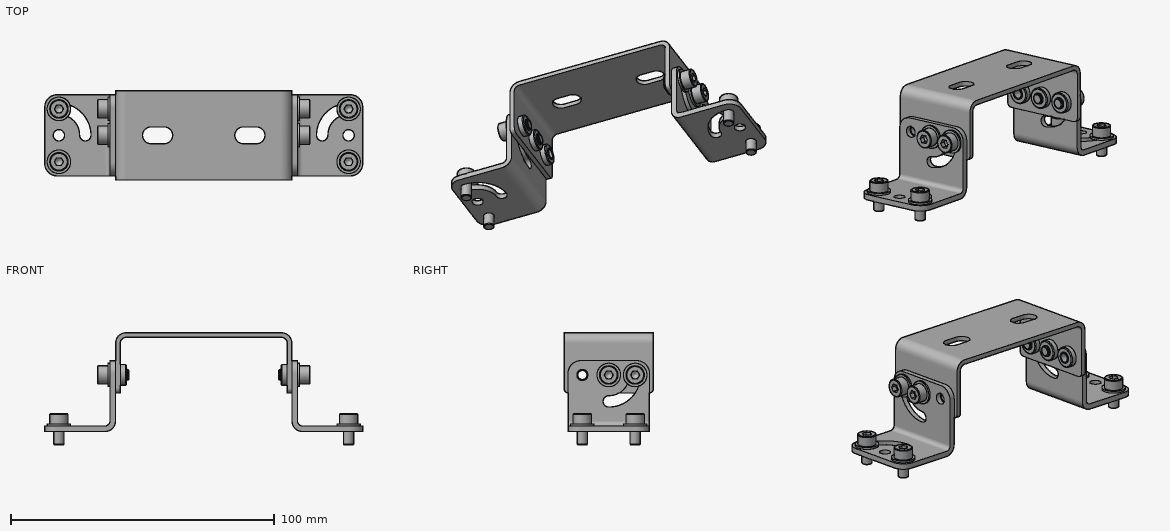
import cadquery as cq
import math

total_length = 121.0
bridge_length = 67.0
bridge_width = 34.0
bridge_top = 37.6
bridge_bottom = 14.6
bridge_thickness = 1.8
bridge_inner_bend = 2.2
bridge_corner = 1.8

top_slot_spacing = 35.1
top_slot_length = 11.4
top_slot_width = 6.3

bracket_width = 31.0
bracket_thickness = 2.2
bracket_inner_bend = 1.8
bracket_corner = 4.8
flange_length = (total_length - bridge_length) / 2

hole_pitch = 10.0
hole_edge_distance = 5.5
hole_diameter = 4.2

shank_diameter = 4.0
shank_length = 8.0
shank_chamfer = 0.3
head_diameter = 7.0
head_height = 4.0
head_chamfer = 0.3
socket_size = 3.0
socket_depth = 2.0
socket_tip_angle = 120.0
washer_diameter = 9.0
washer_thickness = 0.7

nut_diameter = 8.0
nut_thickness = 2.3
nut_chamfer = 0.4
nut_collar_diameter = 4.4
nut_collar_height = 0.2
nut_bore = 3.4

half_bridge = bridge_length / 2
row_height = flange_length - hole_edge_distance
row_x = -total_length / 2 + hole_edge_distance


def make_bridge():
    """U-shaped strip with rounded leg ends and two slots in its top."""
    leg_height = bridge_top - bridge_bottom
    bridge = (
        cq.Workplane("XY")
        .box(bridge_length, bridge_width, leg_height, centered=(True, True, False))
        .edges("|Y and >Z")
        .fillet(bridge_inner_bend + bridge_thickness)
    )
    inside = (
        cq.Workplane("XY")
        .box(
            bridge_length - 2 * bridge_thickness,
            bridge_width,
            leg_height - bridge_thickness,
            centered=(True, True, False),
        )
        .edges("|Y and >Z")
        .fillet(bridge_inner_bend)
    )
    bridge = bridge.cut(inside).edges("|X and <Z").fillet(bridge_corner)
    slots = (
        cq.Workplane("XY")
        .rarray(top_slot_spacing, 1.2, 2, 1)
        .slot2D(top_slot_length, top_slot_width)
        .extrude(leg_height)
    )
    return bridge.cut(slots).translate((0, 0, bridge_bottom))


def arc_slot():
    """Quarter-circle slot about the origin, from the +Y axis round to the +X axis."""
    inner = hole_pitch - hole_diameter / 2
    outer = hole_pitch + hole_diameter / 2
    diagonal = math.sqrt(0.5)
    end_radius = hole_diameter / 2
    return (
        cq.Workplane("XY")
        .moveTo(0, outer)
        .threePointArc((outer * diagonal, outer * diagonal), (outer, 0))
        .threePointArc((hole_pitch, -end_radius), (inner, 0))
        .threePointArc((inner * diagonal, inner * diagonal), (0, inner))
        .threePointArc((-end_radius, hole_pitch), (0, outer))
        .close()
        .extrude(bracket_thickness)
    )


def flange_cutter(hole_positions):
    """Holes and arc slot of a flange lying on XY, centred on its hole row, the bend towards +X."""
    holes = (
        cq.Workplane("XY")
        .pushPoints([(0, y) for y in hole_positions])
        .circle(hole_diameter / 2)
        .extrude(bracket_thickness)
    )
    return arc_slot().union(holes)


def stand_up(shape):
    """Turn a shape from pointing up (+Z) to pointing outward (-X), local +X going to +Z."""
    return shape.rotate((0, 0, 0), (0, 1, 0), -90)


def make_bracket():
    """Left bracket: a foot on Z = 0 and an upright against the bridge leg."""
    bracket = (
        cq.Workplane("XY")
        .box(flange_length, bracket_width, flange_length, centered=(False, True, False))
        .edges("|Y and >X and <Z")
        .fillet(bracket_inner_bend + bracket_thickness)
    )
    outside = (
        cq.Workplane("XY")
        .box(flange_length, bracket_width, flange_length, centered=(False, True, False))
        .edges("|Y and >X and <Z")
        .fillet(bracket_inner_bend)
        .translate((-bracket_thickness, 0, bracket_thickness))
    )
    bracket = bracket.cut(outside)
    bracket = bracket.edges("|Z and <X").fillet(bracket_corner)
    bracket = bracket.edges("|X and >Z").fillet(bracket_corner)
    bracket = bracket.translate((-total_length / 2, 0, 0))

    foot_cutter = flange_cutter([-hole_pitch, 0]).translate((row_x, 0, 0))
    upright_cutter = flange_cutter([-hole_pitch]).mirror("YZ")
    upright_cutter = stand_up(upright_cutter).translate((-half_bridge, 0, row_height))
    return bracket.cut(foot_cutter).cut(upright_cutter)


def make_screw():
    """Cap screw and washer along +Z, the washer resting on Z = 0."""
    head_top = washer_thickness + head_height
    washer = cq.Workplane("XY").circle(washer_diameter / 2).extrude(washer_thickness)
    head = (
        cq.Workplane("XY")
        .circle(head_diameter / 2)
        .extrude(head_top)
        .faces(">Z")
        .edges()
        .chamfer(head_chamfer)
    )
    shank = (
        cq.Workplane("XY")
        .workplane(offset=washer_thickness - shank_length)
        .circle(shank_diameter / 2)
        .extrude(shank_length)
        .faces("<Z")
        .edges()
        .chamfer(shank_chamfer)
    )
    socket = (
        cq.Workplane("XY")
        .workplane(offset=head_top - socket_depth)
        .polygon(6, socket_size, circumscribed=True)
        .extrude(socket_depth)
    )
    tip_height = socket_size / 2 / math.tan(math.radians(socket_tip_angle / 2))
    socket_tip = (
        cq.Workplane("XZ")
        .moveTo(0, head_top - socket_depth)
        .lineTo(socket_size / 2, head_top - socket_depth)
        .lineTo(0, head_top - socket_depth - tip_height)
        .close()
        .revolve(360, (0, 0, 0), (0, 1, 0))
    )
    return washer.union(head).union(shank).cut(socket).cut(socket_tip)


def make_nut():
    """Round nut blank along -Z, seated on Z = 0, with a small collar round its bore."""
    collar = (
        cq.Workplane("XY")
        .circle(nut_collar_diameter / 2)
        .extrude(-nut_thickness - nut_collar_height)
    )
    body = (
        cq.Workplane("XY")
        .circle(nut_diameter / 2)
        .extrude(-nut_thickness)
        .faces("<Z")
        .edges()
        .chamfer(nut_chamfer)
    )
    return body.union(collar)


def make_side():
    """Everything fixed to the left leg of the bridge, without the thread bores."""
    side = make_bracket()
    screw = make_screw()
    foot_screw = screw.rotate((0, 0, 0), (0, 0, 1), 90)
    for y in (-hole_pitch, hole_pitch):
        side = side.union(foot_screw.translate((row_x, y, bracket_thickness)))

    upright_screw = stand_up(screw)
    for y in (0, hole_pitch):
        side = side.union(upright_screw.translate((-half_bridge - bracket_thickness, y, row_height)))

    nut = stand_up(make_nut())
    for y in (-hole_pitch, 0, hole_pitch):
        side = side.union(nut.translate((-half_bridge + bridge_thickness, y, row_height)))
    return side


free_bore = (
    cq.Workplane("YZ")
    .center(-hole_pitch, row_height)
    .circle(nut_bore / 2)
    .extrude(half_bridge, both=True)
)

left_side = make_side()
right_side = left_side.mirror("YZ")
result = make_bridge().union(left_side).union(right_side).cut(free_bore)